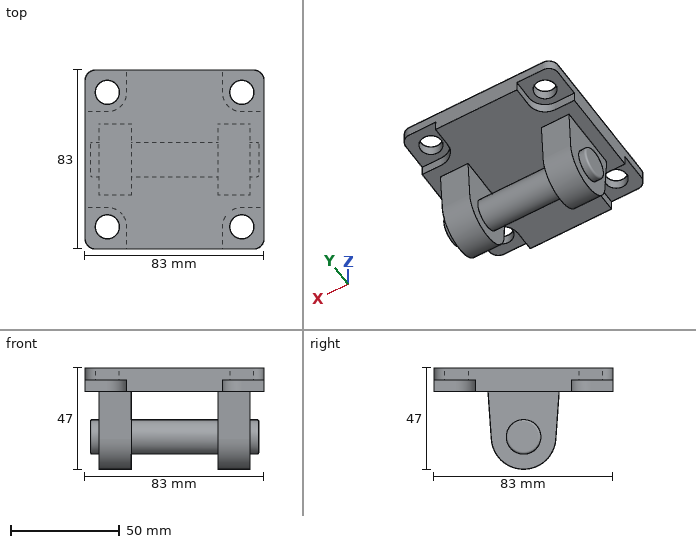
import cadquery as cq
import math

plate_size = 83.0
plate_thickness = 5.65
corner_radius = 5.0
hole_diameter = 11.0
hole_inset = 10.4

pad_thickness = 5.4
notch_radius = 9.0
notch_size = hole_inset + notch_radius

lug_thickness = 15.0
lug_gap = 40.0
lug_top_width = 33.0
lug_end_radius = 15.0

pin_diameter = 16.0
pin_length = 78.0
pin_end_rounding = 1.0
overall_height = 47.0
pin_z = plate_thickness + pad_thickness + lug_end_radius - overall_height

hole_spacing = plate_size - 2 * hole_inset


def make_plate():
    plate = (
        cq.Workplane("XY")
        .workplane(offset=pad_thickness)
        .rect(plate_size, plate_size)
        .extrude(plate_thickness)
        .edges("|Z")
        .fillet(corner_radius)
    )
    return (
        plate.faces(">Z")
        .workplane()
        .rect(hole_spacing, hole_spacing, forConstruction=True)
        .vertices()
        .hole(hole_diameter)
    )


def make_pad():
    pad = cq.Workplane("XY").rect(plate_size, plate_size).extrude(pad_thickness)
    notches = (
        cq.Workplane("XY")
        .rect(plate_size, plate_size, forConstruction=True)
        .vertices()
        .rect(2 * notch_size, 2 * notch_size)
        .extrude(pad_thickness)
        .edges("|Z")
        .fillet(notch_radius)
    )
    return pad.cut(notches)


def make_lug(start_x):
    half_top = lug_top_width / 2
    top_height = -pin_z
    reach = math.hypot(half_top, top_height)
    tangent_angle = math.atan2(top_height, half_top) - math.acos(lug_end_radius / reach)
    tangent_y = lug_end_radius * math.cos(tangent_angle)
    tangent_z = pin_z + lug_end_radius * math.sin(tangent_angle)
    return (
        cq.Workplane("YZ")
        .workplane(offset=start_x)
        .moveTo(half_top, 0)
        .lineTo(tangent_y, tangent_z)
        .threePointArc((0, pin_z - lug_end_radius), (-tangent_y, tangent_z))
        .lineTo(-half_top, 0)
        .close()
        .extrude(lug_thickness)
    )


def make_pin():
    return (
        cq.Workplane("YZ")
        .workplane(offset=-pin_length / 2)
        .center(0, pin_z)
        .circle(pin_diameter / 2)
        .extrude(pin_length)
        .edges("%CIRCLE")
        .fillet(pin_end_rounding)
    )


result = make_plate().union(make_pad())
for lug_start in (-lug_gap / 2 - lug_thickness, lug_gap / 2):
    result = result.union(make_lug(lug_start))
result = result.union(make_pin())